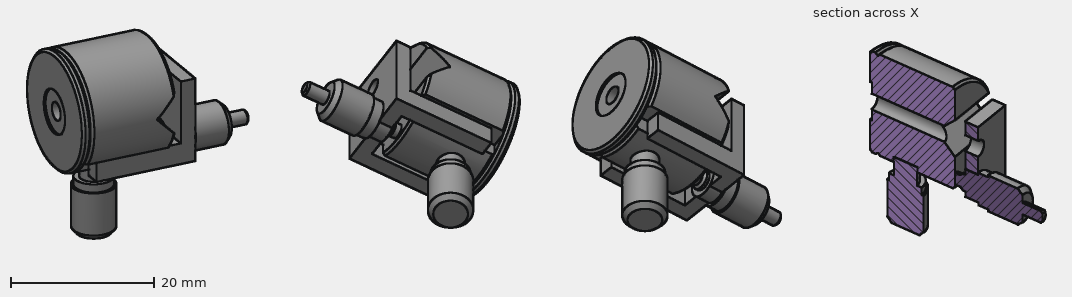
import cadquery as cq


barrel_radius = 8.895
barrel_rear = 14.8
edge_chamfer = 0.4
groove_y = 1.38
bore_diameter = 2.7
recess_diameter = 6.6
recess_depth = 0.3
notch_apex_y = 11.6

bracket_width = 12.72
arm_gap = 7.98
arm_top = -5.7
arm_front = 3.35
upright_front = 16.55
upright_rear = 18.85
upright_top = 3.8
bracket_bottom = -barrel_radius

grip_radius = 3.18
grip_end_radius = 2.43
grip_chamfer = 0.85
collar_radius = 2.865

rear_fitting_z = -7.0
rear_end = 30.0
rod_radius = 1.065
rod_chamfer = 0.3
sleeve_radius = 2.415
nose_radius = 1.5
nose_front = 15.7
nose_taper_start = 16.15
rear_collar_end = 20.55
rear_grip_end = 26.55

lower_fitting_y = 6.15
lower_end = -19.695
stem_radius = 2.05
stem_depth = 0.9
stem_bottom = -11.13
lower_collar_bottom = -12.4


def turned_on_y(profile, axis_z=0.0):
    """Revolve (radius, y) points, closed along the axis, about a line parallel to Y."""
    solid = cq.Workplane("XY").polyline(profile).close().revolve(360, (0, 0), (0, 1))
    return solid.translate((0, 0, axis_z))


def y_cylinder(radius, y_start, y_end, axis_z=0.0):
    """Cylinder parallel to Y between two Y positions."""
    return turned_on_y([(0, y_start), (radius, y_start), (radius, y_end), (0, y_end)], axis_z)


def block(x_range, y_range, z_range):
    """Box between three pairs of limits."""
    sizes = [high - low for low, high in (x_range, y_range, z_range)]
    corner = (x_range[0], y_range[0], z_range[0])
    return cq.Workplane("XY").box(*sizes, centered=False).translate(corner)


def make_barrel():
    inner_radius = barrel_radius - edge_chamfer
    barrel = turned_on_y([
        (0, 0),
        (inner_radius, 0),
        (barrel_radius, edge_chamfer),
        (barrel_radius, groove_y - edge_chamfer),
        (inner_radius, groove_y),
        (barrel_radius, groove_y + edge_chamfer),
        (barrel_radius, barrel_rear - edge_chamfer),
        (inner_radius, barrel_rear),
        (0, barrel_rear),
    ])

    barrel = barrel.cut(y_cylinder(bore_diameter / 2, 0, barrel_rear))
    barrel = barrel.cut(y_cylinder(recess_diameter / 2, 0, recess_depth))

    notch_depth = barrel_rear - notch_apex_y
    notch = (
        cq.Workplane("YZ")
        .polyline([(notch_apex_y, 0), (barrel_rear, notch_depth), (barrel_rear, -notch_depth)])
        .close()
        .extrude(barrel_radius, both=True)
    )
    barrel = barrel.cut(notch)

    seat_y = (groove_y, barrel_rear)
    seat_z = (-barrel_radius, arm_top)
    for seat_x in ((-barrel_radius, -arm_gap / 2), (arm_gap / 2, barrel_radius)):
        barrel = barrel.cut(block(seat_x, seat_y, seat_z))
    return barrel


def make_bracket():
    half_width = bracket_width / 2
    half_gap = arm_gap / 2
    bracket = block(
        (-half_width, half_width), (upright_front, upright_rear), (bracket_bottom, upright_top)
    )
    for arm_x in ((-half_width, -half_gap), (half_gap, half_width)):
        bracket = bracket.union(block(arm_x, (arm_front, upright_front), (bracket_bottom, arm_top)))

    bracket = bracket.cut(y_cylinder(bore_diameter / 2, upright_front, upright_rear))
    return bracket.cut(y_cylinder(sleeve_radius, upright_front, upright_rear, rear_fitting_z))


def make_rear_fitting():
    return turned_on_y([
        (0, barrel_rear),
        (rod_radius, barrel_rear),
        (rod_radius, nose_front),
        (nose_radius, nose_taper_start),
        (nose_radius, upright_front),
        (sleeve_radius, upright_front),
        (sleeve_radius, upright_rear),
        (collar_radius, upright_rear),
        (collar_radius, rear_collar_end),
        (grip_radius, rear_collar_end),
        (grip_radius, rear_grip_end - grip_chamfer),
        (grip_end_radius, rear_grip_end),
        (rod_radius, rear_grip_end),
        (rod_radius, rear_end - rod_chamfer),
        (rod_radius - rod_chamfer, rear_end),
        (0, rear_end),
    ], rear_fitting_z)


def make_lower_fitting():
    stem_top = -barrel_radius + stem_depth
    profile = [
        (0, stem_top),
        (stem_radius, stem_top),
        (stem_radius, stem_bottom),
        (collar_radius, stem_bottom),
        (collar_radius, lower_collar_bottom),
        (grip_radius, lower_collar_bottom),
        (grip_radius, lower_end + grip_chamfer),
        (grip_end_radius, lower_end),
        (0, lower_end),
    ]
    fitting = cq.Workplane("XZ").polyline(profile).close().revolve(360, (0, 0), (0, 1))
    return fitting.translate((0, lower_fitting_y, 0))


bracket = make_bracket()
rear_fitting = make_rear_fitting()
lower_fitting = make_lower_fitting()
barrel = make_barrel().cut(lower_fitting)

result = cq.Compound.makeCompound([
    barrel.solids().val(),
    bracket.solids().val(),
    rear_fitting.val(),
    lower_fitting.val(),
])